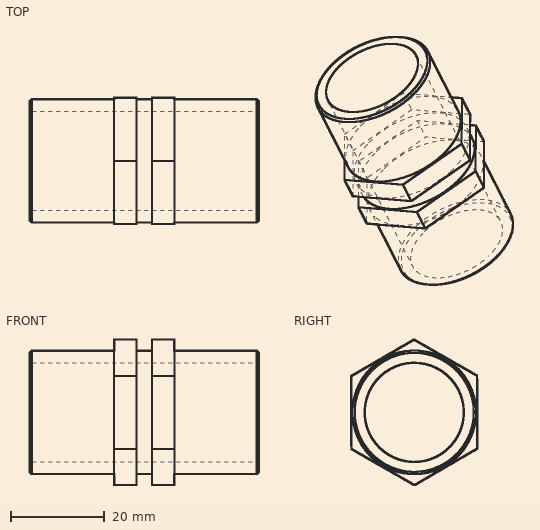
import cadquery as cq
import math

length = 49.0
outer_diameter = 26.45
bore_diameter = 21.15
end_chamfer = 0.5

nut_across_flats = 27.0
nut_across_corners = nut_across_flats / math.cos(math.pi / 6)
nut_thickness = 4.85
nut_gap = 3.25
nut_tilt = 0.2


def make_tube():
    """Solid round bar with chamfered ends, centred on the origin."""
    bar = cq.Workplane("YZ").circle(outer_diameter / 2).extrude(length / 2, both=True)
    return bar.faces("<X or >X").chamfer(end_chamfer)


def make_nut(start_x):
    """Hexagonal prism starting at start_x, with corners at top and bottom."""
    nut = (
        cq.Workplane("YZ", origin=(start_x, 0, 0))
        .polygon(6, nut_across_corners)
        .extrude(nut_thickness)
    )
    return nut.rotate((0, 0, 0), (1, 0, 0), 90 + nut_tilt)


body = make_tube()
for nut_start in (-nut_gap / 2 - nut_thickness, nut_gap / 2):
    body = body.union(make_nut(nut_start))

bore = cq.Workplane("YZ").circle(bore_diameter / 2).extrude(length, both=True)
result = body.cut(bore)